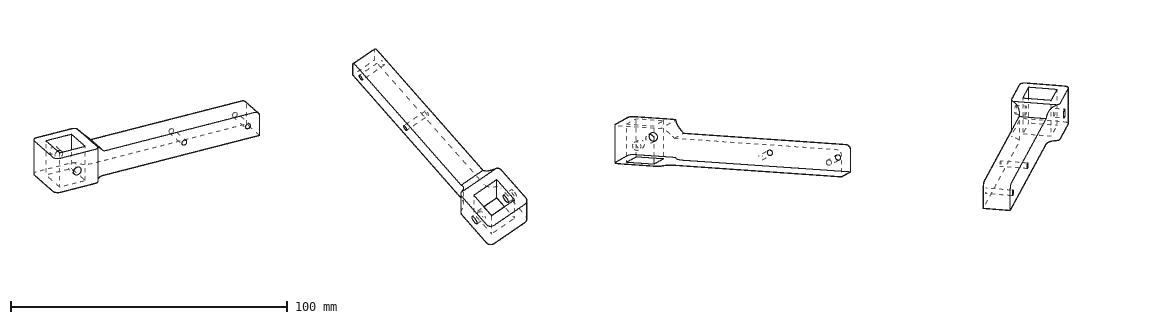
import cadquery as cq

total_length = 86.0
socket_side = 18.0
socket_height = 14.0
window_side = 10.5
arm_side = 10.0
corner_radius = 2.0
socket_hole_diameter = 3.2
arm_hole_diameter = 2.0
arm_hole_end_distances = (4.8, 31.0)

front_y = -total_length / 2
end_y = total_length / 2
socket_center_y = front_y + socket_side / 2
socket_back_y = front_y + socket_side
half_socket = socket_side / 2
half_arm = arm_side / 2

flare_radius = half_socket - half_arm
slope_rise = socket_height - arm_side
slope_end_y = socket_back_y + slope_rise


def plan_body():
    """Socket, flared neck and arm outline, extruded to the socket height."""
    arm_start_y = socket_back_y + flare_radius
    body = (
        cq.Workplane("XY")
        .moveTo(-half_socket, front_y)
        .lineTo(half_socket, front_y)
        .lineTo(half_socket, socket_back_y)
        .radiusArc((half_arm, arm_start_y), flare_radius)
        .lineTo(half_arm, end_y)
        .lineTo(-half_arm, end_y)
        .lineTo(-half_arm, arm_start_y)
        .radiusArc((-half_socket, socket_back_y), flare_radius)
        .close()
        .extrude(socket_height)
    )
    side_edges = body.faces("<X or >X").edges("|Z")
    return side_edges.fillet(corner_radius)


def side_envelope():
    """Side profile: tall socket, sloped neck, low arm with a rounded top end."""
    envelope = (
        cq.Workplane("YZ")
        .moveTo(front_y, 0)
        .lineTo(end_y, 0)
        .lineTo(end_y, arm_side)
        .lineTo(slope_end_y, arm_side)
        .lineTo(socket_back_y, socket_height)
        .lineTo(front_y, socket_height)
        .close()
        .extrude(half_socket, both=True)
    )
    return envelope.faces(">Y").edges(">Z").fillet(corner_radius)


def cross_hole(y, z, diameter):
    """Cylinder along X that passes through the whole part."""
    return cq.Workplane("YZ").center(y, z).circle(diameter / 2).extrude(half_socket, both=True)


body = plan_body().intersect(side_envelope())

window = (
    cq.Workplane("XY")
    .center(0, socket_center_y)
    .rect(window_side, window_side)
    .extrude(socket_height)
)
body = body.cut(window)

body = body.cut(cross_hole(socket_center_y, socket_height / 2, socket_hole_diameter))
for distance in arm_hole_end_distances:
    body = body.cut(cross_hole(end_y - distance, arm_side / 2, arm_hole_diameter))

result = body